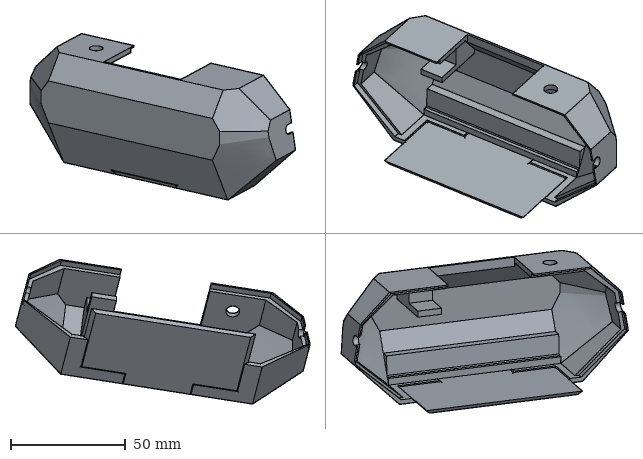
import cadquery as cq
height = 52.46
depth = 33.7
widest_half = 64.105
widest_z = 21.0
shoulder_half = 61.1
shoulder_z = 39.2
crest_half = 47.4
edge_half = 42.7
side_depth = 15.55
crest_depth = 19.7
top_depth = 25.1
bottom_depth = 21.35
front_low_z = 22.4
front_high_z = 41.9
facet_front_half = 46.5
facet_front_low_z = 30.5
facet_front_high_z = 36.6
facet_side_depth = 18.5
facet_side_low_z = 32.2
facet_side_high_z = 35.1

wall = 2.5
floor_thickness = 2.1
rebate_depth = 2.7
rebate_wall = 0.7

notch_half = 20.0
notch_depth = 24.0
hole_diameter = 6.0
hole_x = -32.0
hole_y = -11.9
slot_width = 4.3
slot_depth = 5.1
slot_z = 31.2

sill_depth = 20.0
sill_step_depth = 22.0
sill_top_depth = 22.7
sill_ledge_z = 5.2
sill_top_z = 14.7

bracket_left = 21.0
bracket_length = 11.0
bracket_rear = -5.66
bracket_top = 40.0
bracket_thickness = 2.8
post_rear = -16.8

lid_thickness = 1.7
lid_half = 36.5
lid_rear = 16.28
lid_rear_bevel = 0.9
lid_shoulder = -17.3
tongue_half = 16.9
side_bevel = 2.0
lid_gap = 0.4

side_slope = (widest_half - shoulder_half) / (shoulder_z - widest_z)
front_slope = (depth - bottom_depth) / front_low_z


def hull(skin, base):
    """Faceted envelope moved inward by about `skin`, with its underside at Z = base.

    Some corners on sloping edges move by half as much, which keeps the walls near an even
    thickness. The rear plane stays at Y = 0.
    """
    def on_side_face(y, z):
        return (widest_half - skin - side_slope * (z - widest_z), y, z)

    top = height - skin
    front = skin - depth
    crest = (crest_half - skin, skin - crest_depth, top)
    top_edge = (edge_half - skin, skin - top_depth, top)
    front_high = (edge_half - skin, front, front_high_z - skin)
    facet_front_high = (facet_front_half - skin, front, facet_front_high_z - skin / 2)
    facet_front_low = (facet_front_half - skin, front, facet_front_low_z)
    front_low = (edge_half - skin, front, front_low_z + base / 2)
    facet_side_high = on_side_face(skin - facet_side_depth, facet_side_high_z - skin / 2)
    facet_side_low = on_side_face(skin - facet_side_depth, facet_side_low_z)
    shoulder = on_side_face(skin - side_depth, shoulder_z - skin / 2)
    widest = on_side_face(skin - side_depth, widest_z)
    bottom_edge = (edge_half - skin, skin / 2 - bottom_depth, base)

    def at_rear(point):
        return (point[0], 0, point[2])

    def mirrored(points):
        return [(-x, y, z) for x, y, z in points]

    def face(points, filled=False):
        vectors = [cq.Vector(*p) for p in points]
        edges = [cq.Edge.makeLine(a, b) for a, b in zip(vectors, vectors[1:] + vectors[:1])]
        if filled:
            return cq.Face.makeNSidedSurface(edges, [])
        return cq.Face.makeFromWires(cq.Wire.assembleEdges(edges))

    side_faces = [
        [at_rear(crest), crest, shoulder, at_rear(shoulder)],
        [at_rear(shoulder), shoulder, facet_side_high, facet_side_low, widest, at_rear(widest)],
        [at_rear(widest), widest, bottom_edge, at_rear(bottom_edge)],
    ]
    corner_faces = [
        [crest, top_edge, front_high, facet_front_high, facet_side_high, shoulder],
        [facet_front_high, facet_front_low, facet_side_low, facet_side_high],
        [facet_front_low, front_low, bottom_edge, widest, facet_side_low],
    ]
    half_outlines = [
        [at_rear(crest), crest, top_edge],
        [top_edge, front_high],
        [front_high, facet_front_high, facet_front_low, front_low],
        [front_low, bottom_edge],
        [bottom_edge, at_rear(bottom_edge)],
        [at_rear(bottom_edge), at_rear(widest), at_rear(shoulder), at_rear(crest)],
    ]
    faces = [face(p + mirrored(p)[::-1]) for p in half_outlines]
    for points in side_faces:
        faces += [face(points), face(mirrored(points))]
    for points in corner_faces:
        faces += [face(points, filled=True), face(mirrored(points), filled=True)]
    return cq.Solid.makeSolid(cq.Shell.makeShell(faces))


def box(x_range, y_range, z_range):
    """Axis-aligned block spanning the three (low, high) ranges."""
    size = [high - low for low, high in (x_range, y_range, z_range)]
    corner = (x_range[0], y_range[0], z_range[0])
    return cq.Workplane("XY").box(*size, centered=False).translate(corner)


def notch():
    """Opening in the top and the back, leaving a flap on each side."""
    return box((-notch_half, notch_half), (-notch_depth, 0), (front_high_z, height))


def button_hole():
    """Round hole through the left-hand flap."""
    return (
        cq.Workplane("XY", origin=(hole_x, hole_y, front_high_z))
        .circle(hole_diameter / 2)
        .extrude(height - front_high_z)
    )


def side_slots():
    """Round-ended slot through both side walls, open at the rear."""
    radius = slot_width / 2
    return (
        cq.Workplane("YZ", origin=(-widest_half, 0, slot_z))
        .moveTo(0, -radius)
        .lineTo(radius - slot_depth, -radius)
        .threePointArc((-slot_depth, 0), (radius - slot_depth, radius))
        .lineTo(0, radius)
        .close()
        .extrude(2 * widest_half)
    )


def sill():
    """Stepped thickening at the foot of the front wall, as wide as the underside."""
    outline = [
        (-sill_depth, floor_thickness),
        (-sill_depth, sill_ledge_z),
        (-sill_step_depth, sill_ledge_z),
        (-sill_top_depth, sill_top_z),
        (-depth, sill_top_z),
        (-depth, floor_thickness),
    ]
    width = 2 * (edge_half - wall)
    return cq.Workplane("YZ", origin=(-width / 2, 0, 0)).polyline(outline).close().extrude(width)


def bracket():
    """Shelf from the front wall, hung from the right-hand flap by a post."""
    x_range = (bracket_left, bracket_left + bracket_length)
    shelf = box(x_range, (-depth, bracket_rear), (bracket_top - bracket_thickness, bracket_top))
    post = box(x_range, (-depth, post_rear), (bracket_top, height))
    return shelf.union(post)


def lid_outline(grow, inset, front, rear):
    """T-shaped plan: wide plate at the rear and a narrow tongue reaching the front."""
    plate = lid_half + grow - inset
    tongue = tongue_half + grow - inset
    shoulder = lid_shoulder - grow + inset
    right = [(tongue, front), (tongue, shoulder), (plate, shoulder), (plate, rear)]
    points = right + [(-x, y) for x, y in reversed(right)]
    return [cq.Vector(x, y) for x, y in points]


def dovetail_plate(grow, thickness):
    """Lid shape whose sides lean outward going up, enlarged by `grow`."""
    top_front = -bottom_depth - front_slope * thickness
    outlines = [
        (0, lid_outline(grow, side_bevel, -bottom_depth, lid_rear + grow - lid_rear_bevel)),
        (thickness, lid_outline(grow, 0, top_front, lid_rear + grow)),
    ]
    wires = [
        cq.Wire.makePolygon([p + cq.Vector(0, 0, z) for p in points], close=True)
        for z, points in outlines
    ]
    return cq.Workplane(cq.Solid.makeLoft(wires, True))


envelope = cq.Workplane(hull(0, 0))
cavity = cq.Workplane(hull(wall, floor_thickness))
rear_band = box((-widest_half, widest_half), (-rebate_depth, 0), (0, height))
rebate = cq.Workplane(hull(rebate_wall, floor_thickness)).intersect(rear_band)
fittings = sill().union(bracket()).intersect(envelope)
housing = (
    envelope.cut(cavity)
    .cut(rebate)
    .union(fittings)
    .cut(notch())
    .cut(button_hole())
    .cut(side_slots())
    .cut(dovetail_plate(lid_gap, floor_thickness))
    .solids()
)

lid = dovetail_plate(0, lid_thickness)

result = cq.Compound.makeCompound([housing.val(), lid.val()])